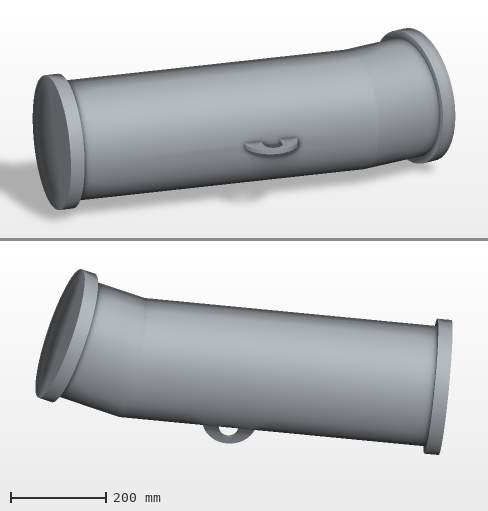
import cadquery as cq

pipe_diameter = 254.0
flange_diameter = 285.0
flange_thickness = 30.0
bend_angle = 15.0
short_leg_length = 162.0
long_leg_length = 662.0

lug_radius = 58.0
lug_thickness = 8.0
lug_distance = 221.0
slot_width = 40.0
slot_reach = 23.0

pipe_radius = pipe_diameter / 2


def bend(shape, angle):
    """Swing a shape about the vertical axis through the bend point."""
    return shape.rotate((0, 0, 0), (0, 0, 1), angle)


def make_leg(length):
    """Flanged leg along -Y, running past the bend so that it can be mitred."""
    pipe = (
        cq.Workplane("XZ")
        .workplane(offset=-pipe_diameter)
        .circle(pipe_radius)
        .extrude(pipe_diameter + length)
    )
    flange = (
        cq.Workplane("XZ")
        .workplane(offset=length - flange_thickness)
        .circle(flange_diameter / 2)
        .extrude(flange_thickness)
    )
    return pipe.union(flange)


def make_mitre_half(length):
    """Block filling the -Y side of the mitre plane."""
    block_size = 2 * (length + flange_diameter)
    block = cq.Workplane("XY").box(block_size, block_size, block_size)
    return bend(block.translate((0, -block_size / 2, 0)), -bend_angle / 2)


def make_lug():
    """Lug on the +X side of an unbent long leg."""
    plate = cq.Workplane("XY").circle(lug_radius).extrude(lug_thickness / 2, both=True)
    slot = (
        cq.Workplane("XY")
        .moveTo(0, -slot_width / 2)
        .lineTo(slot_reach, -slot_width / 2)
        .threePointArc((slot_reach + slot_width / 2, 0), (slot_reach, slot_width / 2))
        .lineTo(0, slot_width / 2)
        .close()
        .extrude(lug_thickness, both=True)
    )
    return plate.cut(slot).translate((pipe_radius, -lug_distance, 0))


mitre_half = make_mitre_half(long_leg_length)
long_leg = bend(make_leg(long_leg_length), -bend_angle).intersect(mitre_half)
short_leg = bend(make_leg(short_leg_length), 180).cut(mitre_half)
lug = bend(make_lug(), -bend_angle)

result = long_leg.union(short_leg).union(lug)